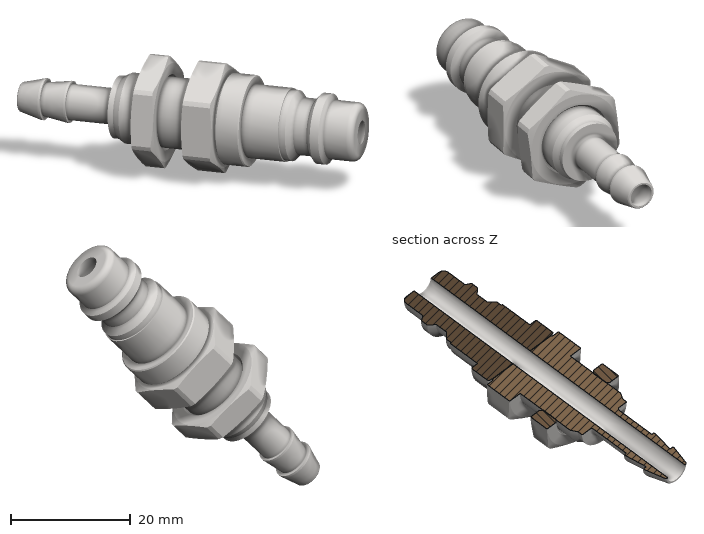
import cadquery as cq
import math

LENGTH = 60.0
BORE_D = 4.0

TIP_R = 2.5
TIP_CHAMFER = 0.2
BARB_R = 3.55
BARB_ROOT_R = 2.9
BARB_LAND = 0.35
BARB_ENDS = (4.4, 8.9)
STEM_R = 6.1 / 2
STEM_FILLET = 0.4

SHANK_START = 17.0
SHANK_END_R = 10.6 / 2
BEVEL_START = 17.95
BEVEL_END = 19.15
SHANK_R = 12.0 / 2

HEX_ACROSS_FLATS = 17.0
HEX_CORNER_D = 19.15
HEX_FACE_D = 16.7
HEX_CHAMFER_DEPTH = 0.3
TAIL_HEX_START = 30.95
TAIL_HEX_END = 36.35
NUT_START = 22.1
NUT_END = 26.05
NUT_TILT = -6.2
NUT_COUNTERSINK = 0.4

SEAT_R = 14.05 / 2
PLUG_START = 36.65

COLLAR_END = 40.85
COLLAR_R = 15.5 / 2
COLLAR_CHAMFER = 0.2
SLEEVE_R = 12.5 / 2
SLEEVE_END = 47.35
SHOULDER_END = 48.5
RIDGE_R = 12.0 / 2
NECK_R = 9.7 / 2
NECK_START = 49.55
NECK_END = 51.9
RIDGE_START = 52.85
RIDGE_END = 54.35
NOSE_START = 54.95
NOSE_R = 10.0 / 2
NOSE_FILLET = 1.1


def revolve_about_x(profile):
    """Turn a closed (x, radius) profile about the X axis."""
    return profile.close().revolve(360, (0, 0, 0), (1, 0, 0))


def rod(start, end, radius):
    return cq.Workplane("YZ", origin=(start, 0, 0)).circle(radius).extrude(end - start)


def hexagon(start, end, tilt):
    """Hexagon with rounded-off corners, chamfered at both ends; flats face Y at zero tilt."""
    corner_to_corner = HEX_ACROSS_FLATS / math.cos(math.radians(30))
    prism = (
        cq.Workplane("YZ", origin=(start, 0, 0))
        .polygon(6, corner_to_corner)
        .extrude(end - start)
        .rotate((0, 0, 0), (1, 0, 0), 90 + tilt)
    )
    face_r = HEX_FACE_D / 2
    corner_r = HEX_CORNER_D / 2
    envelope = revolve_about_x(
        cq.Workplane("XY")
        .moveTo(start, 0)
        .lineTo(start, face_r)
        .lineTo(start + HEX_CHAMFER_DEPTH, corner_r)
        .lineTo(end - HEX_CHAMFER_DEPTH, corner_r)
        .lineTo(end, face_r)
        .lineTo(end, 0)
    )
    return prism.intersect(envelope)


def make_tail():
    """Hose barb, threaded shank, hexagon and seating face in one piece."""
    profile = (
        cq.Workplane("XY")
        .moveTo(0, 0)
        .lineTo(0, TIP_R - TIP_CHAMFER)
        .lineTo(TIP_CHAMFER, TIP_R)
    )
    first_end, second_end = BARB_ENDS
    profile = (
        profile.lineTo(first_end - BARB_LAND, BARB_R)
        .lineTo(first_end, BARB_R)
        .lineTo(first_end, BARB_ROOT_R)
        .lineTo(second_end - BARB_LAND, BARB_R)
        .lineTo(second_end, BARB_R)
        .lineTo(second_end, STEM_R)
        .lineTo(SHANK_START - STEM_FILLET, STEM_R)
        .radiusArc((SHANK_START, STEM_R + STEM_FILLET), -STEM_FILLET)
        .lineTo(SHANK_START, SHANK_END_R)
        .lineTo(BEVEL_START, SHANK_END_R)
        .lineTo(BEVEL_END, SHANK_R)
        .lineTo(TAIL_HEX_START, SHANK_R)
        .lineTo(TAIL_HEX_START, SEAT_R)
        .lineTo(PLUG_START, SEAT_R)
        .lineTo(PLUG_START, 0)
    )
    body = revolve_about_x(profile).union(hexagon(TAIL_HEX_START, TAIL_HEX_END, 0))
    return body.cut(rod(0, LENGTH, BORE_D / 2))


def make_lock_nut():
    """Hexagon nut on the shank, its hole countersunk at both ends."""
    hole_mouth_r = SHANK_R + NUT_COUNTERSINK
    hole = revolve_about_x(
        cq.Workplane("XY")
        .moveTo(NUT_START, 0)
        .lineTo(NUT_START, hole_mouth_r)
        .lineTo(NUT_START + NUT_COUNTERSINK, SHANK_R)
        .lineTo(NUT_END - NUT_COUNTERSINK, SHANK_R)
        .lineTo(NUT_END, hole_mouth_r)
        .lineTo(NUT_END, 0)
    )
    return hexagon(NUT_START, NUT_END, NUT_TILT).cut(hole)


def make_plug():
    """Collar, sleeve, locking groove and rounded nose."""
    profile = (
        cq.Workplane("XY")
        .moveTo(PLUG_START, 0)
        .lineTo(PLUG_START, COLLAR_R - COLLAR_CHAMFER)
        .lineTo(PLUG_START + COLLAR_CHAMFER, COLLAR_R)
        .lineTo(COLLAR_END - COLLAR_CHAMFER, COLLAR_R)
        .lineTo(COLLAR_END, COLLAR_R - COLLAR_CHAMFER)
        .lineTo(COLLAR_END, SLEEVE_R)
        .lineTo(SLEEVE_END, SLEEVE_R)
        .lineTo(SLEEVE_END, RIDGE_R)
        .lineTo(SHOULDER_END, RIDGE_R)
        .lineTo(NECK_START, NECK_R)
        .lineTo(NECK_END, NECK_R)
        .lineTo(RIDGE_START, RIDGE_R)
        .lineTo(RIDGE_END, RIDGE_R)
        .lineTo(NOSE_START, NOSE_R)
        .lineTo(LENGTH - NOSE_FILLET, NOSE_R)
        .radiusArc((LENGTH, NOSE_R - NOSE_FILLET), NOSE_FILLET)
        .lineTo(LENGTH, 0)
    )
    return revolve_about_x(profile).cut(rod(PLUG_START, LENGTH, BORE_D / 2))


tail = make_tail()
lock_nut = make_lock_nut()
plug = make_plug()

result = cq.Compound.makeCompound([tail.val(), lock_nut.val(), plug.val()])